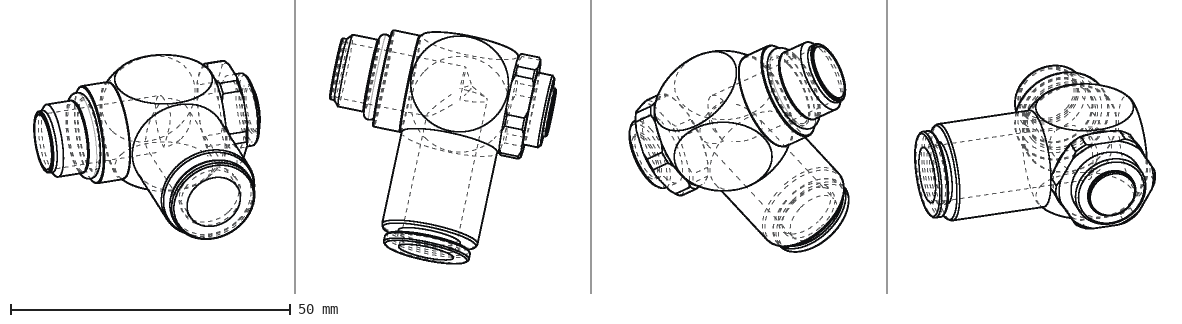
import cadquery as cq
import math

body_side = 18.0
body_half = body_side / 2
body_flat_radius = 8.75
body_sphere_radius = math.hypot(body_half, body_flat_radius)

stem_end_y = -22.6
collar_radius = 8.83
collar_length = 5.05
collar_chamfer = 0.15
thread_radius = 6.58
tip_radius = 5.6
tip_length = 0.85
tip_chamfer = 0.2
lead_in_length = 0.85

ring_outer_radius = 7.8
ring_section_radius = 1.02
ring_groove_depth = 0.2
ring_groove_width = 2 * ring_section_radius + 0.2

hex_apothem = 8.55
hex_corner_radius = 9.3
hex_corner_diameter = 2 * hex_apothem / math.cos(math.radians(30))
hex_length = 3.98
hex_chamfer_length = 0.4
hex_chamfer_depth = 0.47
cap_end_y = stem_end_y + 39.4
cap_radius = thread_radius
cap_length = 3.07
cap_chamfer = 0.45
button_radius = 4.4
button_chamfer = 0.25

sleeve_radius = body_flat_radius
sleeve_end_x = 26.55
sleeve_chamfer_length = 0.47
sleeve_chamfer_depth = 0.25
neck_radius = 5.65
flange_radius = 7.8
flange_start_x = 27.8
flange_end_x = 29.47
flange_chamfer = 0.3

bore_radius = 5.0
drill_half_angle = 60
drill_tip_length = bore_radius / math.tan(math.radians(drill_half_angle))


def turned_y(profile):
    """Revolve (radius, y) points about the Y axis."""
    return cq.Workplane("XY").polyline(profile).close().revolve(360, (0, 0), (0, 1))


def turned_x(profile):
    """Revolve (x, radius) points about the X axis."""
    return cq.Workplane("XY").polyline(profile).close().revolve(360, (0, 0), (1, 0))


def make_body():
    cube = cq.Workplane("XY").box(body_side, body_side, body_side)
    return cube.intersect(cq.Workplane("XY").sphere(body_sphere_radius))


def make_threaded_end():
    collar_y = -body_half - collar_length
    groove_y = collar_y - ring_groove_width
    tip_y = stem_end_y + tip_length
    groove_radius = thread_radius - ring_groove_depth
    stem = turned_y([
        (0, 0),
        (collar_radius - collar_chamfer, 0),
        (collar_radius - collar_chamfer, -body_half),
        (collar_radius, -body_half - collar_chamfer),
        (collar_radius, collar_y + collar_chamfer),
        (collar_radius - collar_chamfer, collar_y),
        (groove_radius, collar_y),
        (groove_radius, groove_y),
        (thread_radius, groove_y),
        (thread_radius, tip_y + lead_in_length),
        (tip_radius, tip_y),
        (tip_radius, stem_end_y + tip_chamfer),
        (tip_radius - tip_chamfer, stem_end_y),
        (0, stem_end_y),
    ])
    ring_centre_radius = ring_outer_radius - ring_section_radius
    ring = (
        cq.Workplane("XY")
        .center(ring_centre_radius, collar_y - ring_section_radius)
        .circle(ring_section_radius)
        .revolve(360, (-ring_centre_radius, 0), (-ring_centre_radius, 1))
    )
    return stem.union(ring)


def make_head():
    hex_end_y = body_half + hex_length
    hex_face_radius = hex_corner_radius - hex_chamfer_depth
    hexagon = (
        cq.Workplane("XZ", origin=(0, hex_end_y, 0))
        .polygon(6, hex_corner_diameter)
        .extrude(hex_length)
    )
    hex_envelope = turned_y([
        (0, body_half),
        (hex_face_radius, body_half),
        (hex_corner_radius, body_half + hex_chamfer_length),
        (hex_corner_radius, hex_end_y - hex_chamfer_length),
        (hex_face_radius, hex_end_y),
        (0, hex_end_y),
    ])
    cap_y = hex_end_y + cap_length
    cap = turned_y([
        (0, 0),
        (cap_radius, 0),
        (cap_radius, cap_y - cap_chamfer),
        (cap_radius - cap_chamfer, cap_y),
        (button_radius, cap_y),
        (button_radius, cap_end_y - button_chamfer),
        (button_radius - button_chamfer, cap_end_y),
        (0, cap_end_y),
    ])
    return hexagon.intersect(hex_envelope).union(cap)


def make_outlet():
    return turned_x([
        (0, 0),
        (0, sleeve_radius),
        (sleeve_end_x - sleeve_chamfer_length, sleeve_radius),
        (sleeve_end_x, sleeve_radius - sleeve_chamfer_depth),
        (sleeve_end_x, neck_radius),
        (flange_start_x, neck_radius),
        (flange_start_x, flange_radius - flange_chamfer),
        (flange_start_x + flange_chamfer, flange_radius),
        (flange_end_x - flange_chamfer, flange_radius),
        (flange_end_x, flange_radius - flange_chamfer),
        (flange_end_x, 0),
    ])


def make_bores():
    stem_bore = turned_y([
        (0, stem_end_y),
        (bore_radius, stem_end_y),
        (bore_radius, 0),
        (0, drill_tip_length),
    ])
    outlet_bore = turned_x([
        (flange_end_x, 0),
        (flange_end_x, bore_radius),
        (0, bore_radius),
        (-drill_tip_length, 0),
    ])
    return stem_bore.union(outlet_bore)


result = (
    make_body()
    .union(make_threaded_end())
    .union(make_head())
    .union(make_outlet())
    .cut(make_bores())
)